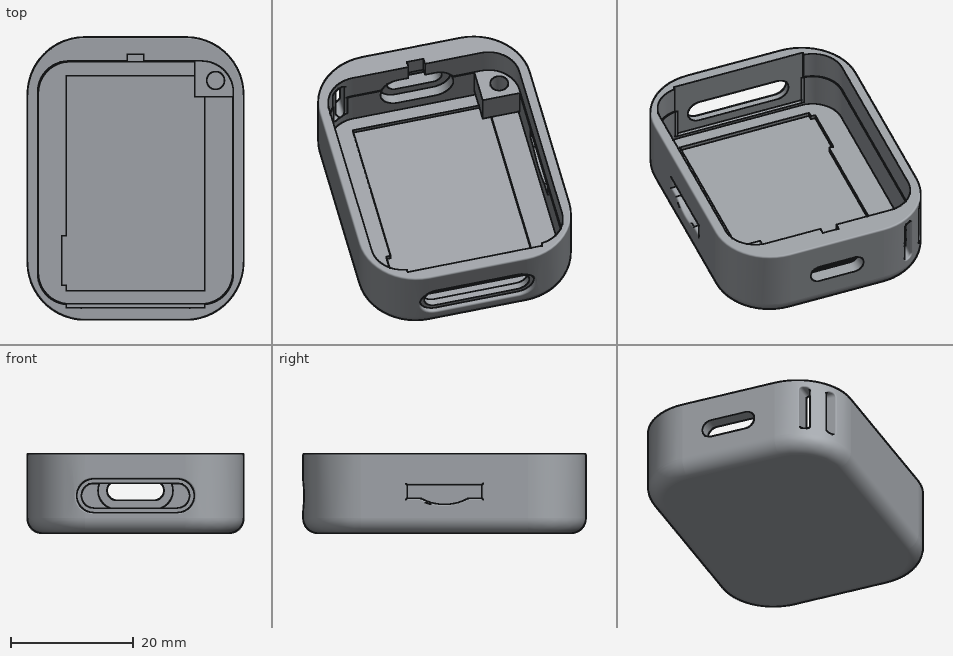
import cadquery as cq
import math

LENGTH = 46.1
WIDTH = 35.25
HEIGHT = 13.0
CORNER_RADIUS = 9.45
BOTTOM_FILLET = 2.5
EDGE_FILLET = 0.3

CAVITY_WIDTH = 31.9
CAVITY_BACK_Y = 19.15
CAVITY_FRONT_Y = -20.55
CAVITY_CORNER_RADIUS = 5.15
STEP_Z = 8.05
STEP_LEDGE = 0.15
FLOOR_Z = 2.0

POCKET_WIDTH = 22.6
POCKET_BACK_Y = 16.75
POCKET_FRONT_Y = -18.3
POCKET_DEPTH = 0.7
BUMP_REACH = 0.75
BUMP_BACK_Y = -9.35
BUMP_FRONT_Y = -17.43

BOSS_BOTTOM_Z = 3.0
BOSS_LEFT_X = 9.65
BOSS_FRONT_Y = 13.28
BOSS_HOLE_DIAMETER = 2.9
BOSS_HOLE_X = 13.05
BOSS_HOLE_Y = 15.95

CHANNEL_BACK_Y = CAVITY_FRONT_Y + STEP_LEDGE
CHANNEL_FRONT_Y = -21.05
CHANNEL_BOTTOM_Z = 2.5

FRONT_SLOT_Z = 6.15
FRONT_RECESS_LENGTH = 19.15
FRONT_RECESS_HEIGHT = 5.5
FRONT_RECESS_DEPTH = 0.8
FRONT_HOLE_LENGTH = 17.6
FRONT_HOLE_HEIGHT = 4.0

CONNECTOR_Z = 6.95
CONNECTOR_LENGTH = 9.2
CONNECTOR_HEIGHT = 3.15
CONNECTOR_RECESS_LENGTH = 12.2
CONNECTOR_RECESS_HEIGHT = 6.05
CONNECTOR_RECESS_Y = 20.75

NOTCH_WIDTH = 2.75
NOTCH_BACK_Y = 20.2

WINDOW_LENGTH = 12.15
WINDOW_BOTTOM_Z = 5.7
WINDOW_TOP_Z = 7.9
DIP_LENGTH = 7.75
DIP_DEPTH = 1.0

STRAP_SLOT_WIDTH = 1.45
STRAP_SLOT_HEIGHT = 7.9
STRAP_SLOT_Z = 7.65
STRAP_SLOT_OFFSET = 4.7
STRAP_SLOT_CORNER = 0.55
STRAP_SLOT_EDGE_FILLET = 0.25
STRAP_SLOT_END = 3.45


def block(x_min, x_max, y_min, y_max, z_min, z_max):
    size = (x_max - x_min, y_max - y_min, z_max - z_min)
    return cq.Workplane("XY").box(*size, centered=False).translate((x_min, y_min, z_min))


def slot_along_y(length, height, z, y_min, y_max):
    """Rounded bar lying along Y, centred on X = 0."""
    plane = cq.Plane(origin=(0, y_max, z), xDir=(1, 0, 0), normal=(0, -1, 0))
    return cq.Workplane(plane).slot2D(length, height).extrude(y_max - y_min)


def cavity_block(inset, z_min, z_max):
    right_x = CAVITY_WIDTH / 2 - inset
    body = block(-right_x, right_x, CAVITY_FRONT_Y + inset, CAVITY_BACK_Y - inset, z_min, z_max)
    return body.edges("|Z").fillet(CAVITY_CORNER_RADIUS - inset)


def outer_shell():
    body = cq.Workplane("XY").box(WIDTH, LENGTH, HEIGHT, centered=(True, True, False))
    body = body.edges("|Z").fillet(CORNER_RADIUS)
    body = body.faces("<Z").edges().fillet(BOTTOM_FILLET)
    return body.faces(">Z").edges().fillet(EDGE_FILLET)


def round_edges_in_box(body, radius, low_corner, high_corner):
    """Round off the edges whose centres lie inside the given box."""
    return body.edges(cq.selectors.BoxSelector(low_corner, high_corner)).fillet(radius)


def cut_front_recess(body):
    front_y = -LENGTH / 2
    recess = slot_along_y(
        FRONT_RECESS_LENGTH, FRONT_RECESS_HEIGHT, FRONT_SLOT_Z, front_y, front_y + FRONT_RECESS_DEPTH
    )
    half_x = FRONT_RECESS_LENGTH / 2 + EDGE_FILLET
    half_z = FRONT_RECESS_HEIGHT / 2 + EDGE_FILLET / 2
    rim_depth = FRONT_RECESS_DEPTH / 3
    return round_edges_in_box(
        body.cut(recess),
        EDGE_FILLET,
        (-half_x, front_y - rim_depth, FRONT_SLOT_Z - half_z),
        (half_x, front_y + rim_depth, FRONT_SLOT_Z + half_z),
    )


def cut_strap_slots(body):
    centre_x = -WIDTH / 2 + CORNER_RADIUS
    centre_y = LENGTH / 2 - CORNER_RADIUS
    slot_x = centre_x - STRAP_SLOT_OFFSET
    slot_y = centre_y + STRAP_SLOT_OFFSET
    half_width = STRAP_SLOT_WIDTH / 2
    near = math.sqrt(CORNER_RADIUS**2 - (STRAP_SLOT_OFFSET + half_width) ** 2)
    far = math.sqrt(CORNER_RADIUS**2 - (STRAP_SLOT_OFFSET - half_width) ** 2)
    z_min = STRAP_SLOT_Z - STRAP_SLOT_HEIGHT / 2
    z_max = STRAP_SLOT_Z + STRAP_SLOT_HEIGHT / 2

    side_slot = block(
        -WIDTH / 2, centre_x - STRAP_SLOT_END, slot_y - half_width, slot_y + half_width, z_min, z_max
    ).edges("|X").fillet(STRAP_SLOT_CORNER)
    back_slot = block(
        slot_x - half_width, slot_x + half_width, centre_y + STRAP_SLOT_END, LENGTH / 2, z_min, z_max
    ).edges("|Y").fillet(STRAP_SLOT_CORNER)
    body = body.cut(side_slot).cut(back_slot)

    slack = STRAP_SLOT_EDGE_FILLET / 2
    reach = half_width + slack
    body = round_edges_in_box(
        body,
        STRAP_SLOT_EDGE_FILLET,
        (centre_x - far - slack, slot_y - reach, z_min - slack),
        (centre_x - near + slack, slot_y + reach, z_max + slack),
    )
    return round_edges_in_box(
        body,
        STRAP_SLOT_EDGE_FILLET,
        (slot_x - reach, centre_y + near - slack, z_min - slack),
        (slot_x + reach, centre_y + far + slack, z_max + slack),
    )


def cut_window(body):
    """Window in the right wall: flat lower edge at both ends, an arc dipping between them."""
    half = WINDOW_LENGTH / 2
    inner_x = CAVITY_WIDTH / 2 - 2 * STEP_LEDGE
    plane = cq.Plane(origin=(inner_x, 0, 0), xDir=(0, 1, 0), normal=(1, 0, 0))
    window = (
        cq.Workplane(plane)
        .moveTo(-half, WINDOW_TOP_Z)
        .lineTo(-half, WINDOW_BOTTOM_Z)
        .lineTo(-DIP_LENGTH / 2, WINDOW_BOTTOM_Z)
        .threePointArc((0, WINDOW_BOTTOM_Z - DIP_DEPTH), (DIP_LENGTH / 2, WINDOW_BOTTOM_Z))
        .lineTo(half, WINDOW_BOTTOM_Z)
        .lineTo(half, WINDOW_TOP_Z)
        .close()
        .extrude(WIDTH / 2 - inner_x)
    )
    body = body.cut(window)
    rim_x = WIDTH / 2
    return round_edges_in_box(
        body,
        EDGE_FILLET,
        (rim_x - EDGE_FILLET, -half - EDGE_FILLET, WINDOW_BOTTOM_Z - 2 * DIP_DEPTH),
        (rim_x + EDGE_FILLET, half + EDGE_FILLET, WINDOW_TOP_Z + EDGE_FILLET),
    )


def hollow_out(body):
    lower = cavity_block(STEP_LEDGE, FLOOR_Z, STEP_Z)
    upper = cavity_block(0, STEP_Z, HEIGHT)
    boss = block(BOSS_LEFT_X, WIDTH / 2, BOSS_FRONT_Y, LENGTH / 2, BOSS_BOTTOM_Z, STEP_Z)
    return body.cut(lower.cut(boss)).cut(upper)


def cut_boss_hole(body):
    hole = cq.Workplane("XY", origin=(BOSS_HOLE_X, BOSS_HOLE_Y, BOSS_BOTTOM_Z))
    return body.cut(hole.circle(BOSS_HOLE_DIAMETER / 2).extrude(STEP_Z - BOSS_BOTTOM_Z))


def cut_floor_pocket(body):
    half = POCKET_WIDTH / 2
    bottom_z = FLOOR_Z - POCKET_DEPTH
    main = block(-half, half, POCKET_FRONT_Y, POCKET_BACK_Y, bottom_z, FLOOR_Z)
    bump = block(-half - BUMP_REACH, -half, BUMP_FRONT_Y, BUMP_BACK_Y, bottom_z, FLOOR_Z)
    return body.cut(main.union(bump))


def cut_front_channel(body):
    half = POCKET_WIDTH / 2
    return body.cut(block(-half, half, CHANNEL_FRONT_Y, CHANNEL_BACK_Y, CHANNEL_BOTTOM_Z, HEIGHT))


def cut_front_hole(body):
    return body.cut(
        slot_along_y(FRONT_HOLE_LENGTH, FRONT_HOLE_HEIGHT, FRONT_SLOT_Z, -LENGTH / 2, CHANNEL_BACK_Y)
    )


def cut_connector_opening(body):
    inside_y = CAVITY_BACK_Y - STEP_LEDGE
    hole = slot_along_y(CONNECTOR_LENGTH, CONNECTOR_HEIGHT, CONNECTOR_Z, inside_y, LENGTH / 2)
    recess = slot_along_y(
        CONNECTOR_RECESS_LENGTH, CONNECTOR_RECESS_HEIGHT, CONNECTOR_Z, inside_y, CONNECTOR_RECESS_Y
    )
    notch = block(-NOTCH_WIDTH / 2, NOTCH_WIDTH / 2, inside_y, NOTCH_BACK_Y, CONNECTOR_Z, HEIGHT)
    return body.cut(hole).cut(recess).cut(notch)


case = outer_shell()
case = cut_front_recess(case)
case = cut_strap_slots(case)
case = cut_window(case)
case = hollow_out(case)
case = cut_boss_hole(case)
case = cut_floor_pocket(case)
case = cut_front_channel(case)
case = cut_front_hole(case)
case = cut_connector_opening(case)

result = case